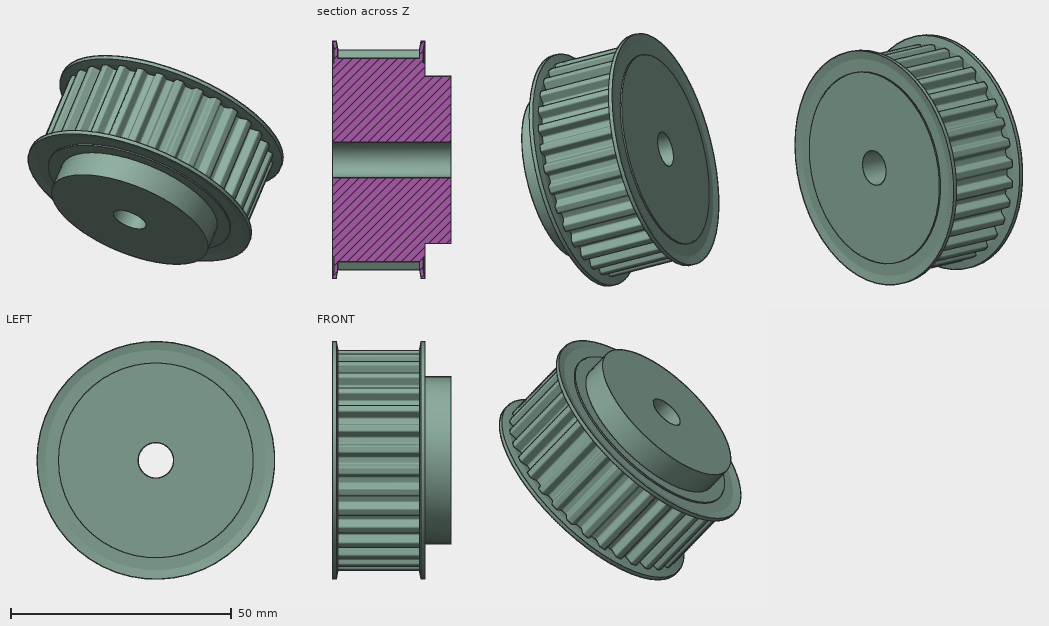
import cadquery as cq
import math


total_length = 27.0
rim_length = 21.05
flange_thickness = 0.9
flange_dish = 0.4

flange_diameter = 54.0
bend_diameter = 50.0
land_diameter = 44.2
hub_diameter = 38.0
bore_diameter = 8.0

tooth_count = 32
tip_diameter = 50.1
groove_depth = 1.95
groove_root_width = 1.5
flank_angle = 25.0
tooth_fillet = 0.45

AXIAL_PLANE = "YZ"


def cylinder(diameter, start, end):
    """Solid cylinder about the X axis between two axial positions."""
    return (
        cq.Workplane(AXIAL_PLANE)
        .workplane(offset=start)
        .circle(diameter / 2)
        .extrude(end - start)
    )


def toothed_rim(start, end):
    """Rim with straight-flanked grooves, rounded at the tips and roots."""
    tip_radius = tip_diameter / 2
    root_radius = tip_radius - groove_depth
    cut_radius = tip_radius + groove_depth
    root_half = groove_root_width / 2
    flank_run = (cut_radius - root_radius) * math.tan(math.radians(flank_angle))
    mouth_half = root_half + flank_run

    groove = (
        cq.Workplane(AXIAL_PLANE)
        .workplane(offset=start)
        .moveTo(root_radius, -root_half)
        .lineTo(cut_radius, -mouth_half)
        .lineTo(cut_radius, mouth_half)
        .lineTo(root_radius, root_half)
        .close()
        .extrude(end - start)
    )
    rim = cylinder(tip_diameter, start, end)
    for index in range(tooth_count):
        angle = index * 360 / tooth_count
        rim = rim.cut(groove.rotate((0, 0, 0), (1, 0, 0), angle))
    return rim.edges("|X").fillet(tooth_fillet)


def flange():
    """Flange at the -X end: flat web with a cone leaning outward to the rim."""
    rim_radius = flange_diameter / 2
    bend_radius = bend_diameter / 2
    return (
        cq.Workplane("XY")
        .moveTo(flange_dish, 0)
        .lineTo(flange_dish, bend_radius)
        .lineTo(0, rim_radius)
        .lineTo(flange_thickness, rim_radius)
        .lineTo(flange_dish + flange_thickness, bend_radius)
        .lineTo(flange_dish + flange_thickness, 0)
        .close()
        .revolve(360, (0, 0, 0), (1, 0, 0))
    )


web_inner_face = flange_dish + flange_thickness
near_flange = flange()
far_flange = near_flange.mirror("YZ").translate((rim_length, 0, 0))
rim = toothed_rim(web_inner_face, rim_length - web_inner_face)
land = cylinder(land_diameter, 0, rim_length)
hub = cylinder(hub_diameter, rim_length / 2, total_length)
bore = cylinder(bore_diameter, 0, total_length)

result = rim.union(near_flange).union(far_flange).union(land).union(hub).cut(bore)